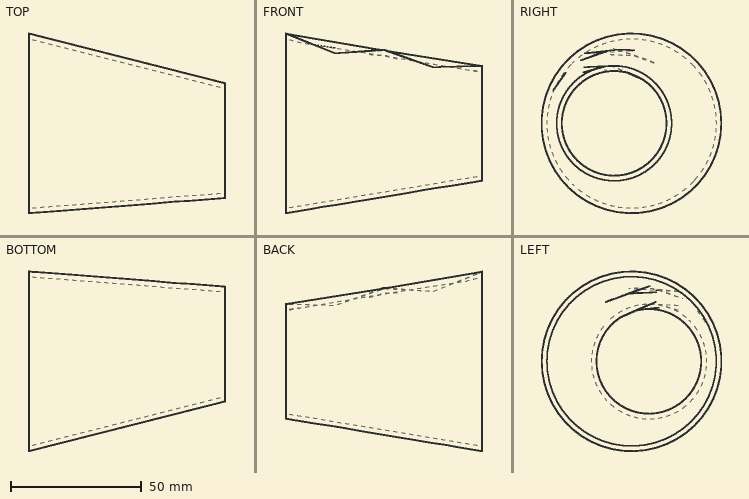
import cadquery as cq

length = 75.0
large_diameter = 68.85
small_diameter = 44.0
wall = 2.0
small_end_shift = -6.6


def eccentric_cone(start_diameter, end_diameter):
    """Solid skew cone between the two end circles."""
    return (
        cq.Workplane("YZ")
        .circle(start_diameter / 2)
        .workplane(offset=length)
        .center(small_end_shift, 0)
        .circle(end_diameter / 2)
        .loft(ruled=True, combine=True)
    )


outer_body = eccentric_cone(large_diameter, small_diameter)
bore = eccentric_cone(large_diameter - 2 * wall, small_diameter - 2 * wall)

result = outer_body.cut(bore)